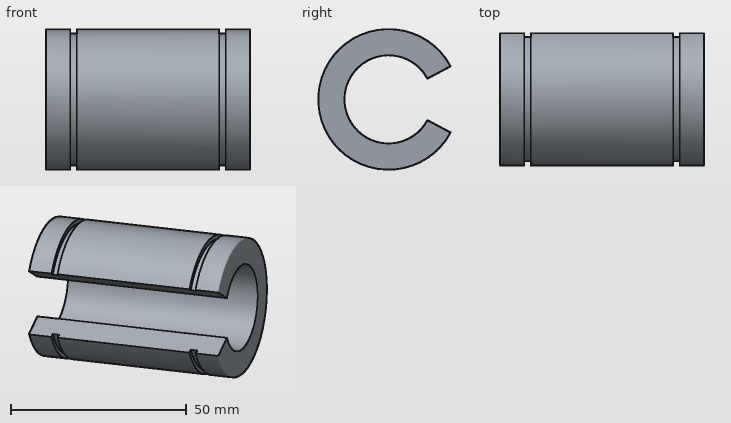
import cadquery as cq
import math

length = 58.0
outer_diameter = 40.0
bore_diameter = 25.0
end_rounding = 0.3

groove_span = 44.1
groove_width = 1.85
groove_diameter = 37.6

opening_angle = 56.0


def make_sleeve():
    sleeve = cq.Workplane("YZ").circle(outer_diameter / 2).extrude(length / 2, both=True)
    sleeve = sleeve.faces("<X or >X").edges().fillet(end_rounding)
    bore = cq.Workplane("YZ").circle(bore_diameter / 2).extrude(length / 2, both=True)
    return sleeve.cut(bore)


def make_groove(center_x):
    ring = cq.Workplane("YZ").circle(outer_diameter / 2).circle(groove_diameter / 2)
    ring = ring.extrude(groove_width / 2, both=True)
    return ring.translate((center_x, 0, 0))


def make_opening():
    reach = outer_diameter
    half_height = reach * math.tan(math.radians(opening_angle / 2))
    wedge = cq.Workplane("YZ").polyline([(0, 0), (reach, half_height), (reach, -half_height)]).close()
    return wedge.extrude(length / 2, both=True)


result = make_sleeve()
for side in (-1, 1):
    result = result.cut(make_groove(side * (groove_span - groove_width) / 2))
result = result.cut(make_opening())